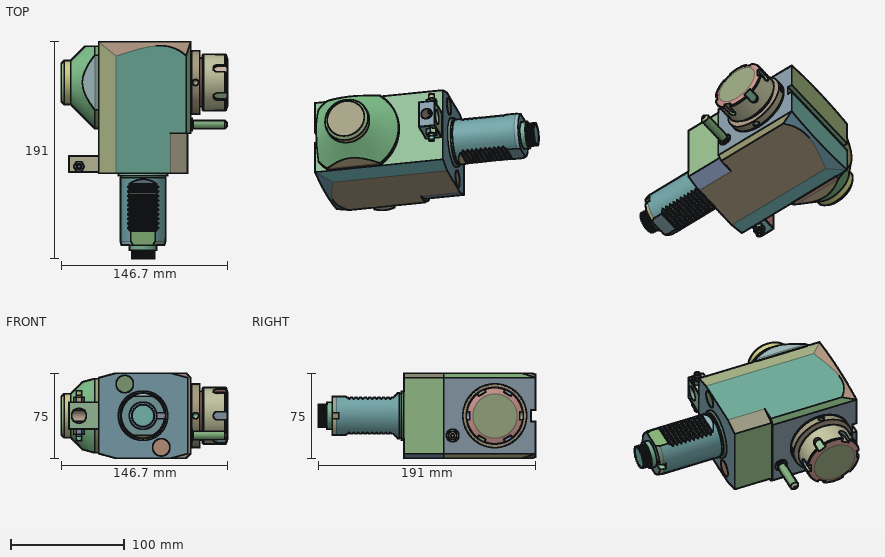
import cadquery as cq
import math


body_length = 116.0
body_half_width = 39.2
body_height = 75.0
body_half_height = body_height / 2
bevel_angle = 15
bevel_start_x = 23.9
bevel_drop = (body_half_width - bevel_start_x) * math.tan(math.radians(bevel_angle))
bevel_edge_z = body_half_height - bevel_drop
spindle_side_x = 42.0
spindle_chamfer_x = spindle_side_x - bevel_drop
spindle_side_start_y = 35.3

crown_mid_x = 7.6
crown_rear_z = 36.5
crown_shoulder_x = -3.8
crown_shoulder_y = 109.6
crown_peak_x = 15.3
crown_peak_y = 112.5
crown_corner_y = 103.5
crown_cut_size = 7.6

rear_slot_width = 10.0
rear_slot_depth = 4.0
plug_radius = 7.6
plug_recess = 0.4
plug_x = 16.0
plug_z = 27.9

drill_point_angle = 118

spindle_y = 80.0

cap_end_x = -72.0
cap_end_chamfer = 2.7
cap_neck_radius = 19.5
cap_radius = 40.5
cap_flat_z = 32.7
cap_base_x = -42.5
cap_rear_y = body_length - rear_slot_depth

collar_relief = 1.0
collar_relief_radius = 27.3
collar_radius = 28.0
collar_end_x = 50.0
nut_neck_radius = 21.5
nut_start_x = 52.1
nut_radius = 25.0
nut_start_chamfer = 1.1
nut_bevel_x = 72.0
nut_shoulder_x = 73.2
nut_shoulder_radius = 24.6
nut_end_x = 74.7
nut_end_radius = 19.5
nut_slot_count = 6
nut_slot_width = 7.3
nut_slot_start_x = 61.9
nut_slot_floor_radius = 22.0
collar_hole_count = 4
collar_hole_x = 46.2
collar_hole_radius = 2.7
collar_hole_depth = 2.0

pin_y = 43.0
pin_z = -17.4
pin_radius = 3.8
pin_end_x = 74.1
pin_tip_chamfer = 2.3
pin_flange_radius = 5.5
pin_flange_length = 1.1
pin_neck_radius = 3.5
pin_neck_end_x = 44.3

block_end_x = -65.1
block_front_y = 1.1
block_rear_y = 15.7
block_half_height = 12.0
block_chamfer = 0.4
block_hole_x = -56.3
block_front_hole_radius = 6.5
block_front_hole_depth = 6.7
block_side_hole_y = 8.5
block_side_hole_radius = 4.8
block_side_hole_depth = 16.2
block_side_socket_depth = 2.0
block_side_socket_corners = 3.0
hexagon_sides = 6
nipple_y = 6.1
nipple_hex_corners = 9.5
nipple_hex_height = 4.4
nipple_radius = 2.5
nipple_top_z = 22.0
nipple_bore_radius = 1.5
nipple_bore_depth = 3.8

shank_radius = 20.0
shank_length = 63.0
shank_end_chamfer = 3.5
shank_end_radius = 19.1
shank_collar_radius = 21.8
shank_collar_length = 2.1
shank_collar_fillet = 0.5
shank_neck_radius = 19.7
shank_neck_end_y = -3.8
shank_flat_z = 17.0
tooth_crest_z = 16.0
tooth_root_z = 14.7
tooth_pitch = 4.0
tooth_count = 10
first_root_y = -11.8
rack_start_y = -5.2
flat_start_y = -51.0
key_slot_width = 5.5
key_slot_depth = 5.7
end_ring_radius = 12.0
end_ring_length = 4.5
spline_outer_radius = 10.1
spline_root_radius = 9.4
spline_tooth_count = 30
total_length = 191.0
spline_end_y = body_length - total_length


def box(x_range, y_range, z_range):
    """Axis-aligned block given by its limits."""
    size = [limits[1] - limits[0] for limits in (x_range, y_range, z_range)]
    corner = (x_range[0], y_range[0], z_range[0])
    return cq.Workplane("XY").box(*size, centered=False).translate(corner)


def cylinder(start, direction, radius, length):
    """Cylinder from a start point along a direction."""
    return cq.Workplane(cq.Solid.makeCylinder(radius, length, cq.Vector(*start), cq.Vector(*direction)))


def drilled_hole(start, radius, depth):
    """Hole running towards +Y, ending in a conical drill point."""
    point_length = radius / math.tan(math.radians(drill_point_angle / 2))
    point_start = cq.Vector(start[0], start[1] + depth, start[2])
    point = cq.Solid.makeCone(radius, 0, point_length, point_start, cq.Vector(0, 1, 0))
    return cylinder(start, (0, 1, 0), radius, depth).union(cq.Workplane(point))


def turned_about_spindle(profile):
    """Solid of revolution about the spindle axis from (x, radius) points."""
    closed = [(profile[0][0], 0)] + profile + [(profile[-1][0], 0)]
    turned = cq.Workplane("XY").polyline(closed).close().revolve(360, (0, 0, 0), (1, 0, 0))
    return turned.translate((0, spindle_y, 0))


def both_sides(shape):
    """The shape together with its mirror image in the Z = 0 plane."""
    return shape.union(shape.mirror("XY"))


def main_block():
    front_outline = [
        (bevel_start_x, body_half_height),
        (body_half_width, bevel_edge_z),
        (body_half_width, -bevel_edge_z),
        (bevel_start_x, -body_half_height),
        (-bevel_start_x, -body_half_height),
        (-body_half_width, -bevel_edge_z),
        (-body_half_width, bevel_edge_z),
        (-bevel_start_x, body_half_height),
    ]
    spindle_outline = [
        (0, body_half_height),
        (spindle_chamfer_x, body_half_height),
        (spindle_side_x, bevel_edge_z),
        (spindle_side_x, -bevel_edge_z),
        (spindle_chamfer_x, -body_half_height),
        (0, -body_half_height),
    ]
    block = cq.Workplane("XZ").polyline(front_outline).close().extrude(-body_length)
    spindle_side = (
        cq.Workplane("XZ", origin=(0, spindle_side_start_y, 0))
        .polyline(spindle_outline)
        .close()
        .extrude(spindle_side_start_y - body_length)
    )
    return block.union(spindle_side)


def rear_crown_cut():
    """Ruled surface from an arc on the rear face to a lopsided curve on the top, thickened outwards."""
    rear_arc = cq.Edge.makeThreePointArc(
        cq.Vector(-body_half_width, body_length, bevel_edge_z),
        cq.Vector(crown_mid_x, body_length, crown_rear_z),
        cq.Vector(spindle_side_x, body_length, bevel_edge_z),
    )
    top_curve = cq.Edge.makeSpline([
        cq.Vector(-bevel_start_x, crown_corner_y, body_half_height),
        cq.Vector(crown_shoulder_x, crown_shoulder_y, body_half_height),
        cq.Vector(crown_peak_x, crown_peak_y, body_half_height),
        cq.Vector(spindle_chamfer_x, crown_corner_y, body_half_height),
    ])
    crown = cq.Face.makeRuledSurface(rear_arc, top_curve)
    outwards = cq.Vector(0, crown_cut_size, crown_cut_size)
    return both_sides(cq.Workplane(cq.Solid.extrudeLinear(crown, outwards)))


def rear_slot():
    half_width = rear_slot_width / 2
    return box(
        (-body_half_width, spindle_side_x),
        (body_length - rear_slot_depth, body_length),
        (-half_width, half_width),
    )


def plug_recesses():
    upper = cylinder((-plug_x, 0, plug_z), (0, 1, 0), plug_radius, plug_recess)
    lower = cylinder((plug_x, 0, -plug_z), (0, 1, 0), plug_radius, plug_recess)
    return upper.union(lower)


def rear_cap():
    cone_end_x = cap_base_x - (cap_radius - cap_neck_radius)
    turned = turned_about_spindle([
        (cap_end_x, cap_neck_radius - cap_end_chamfer),
        (cap_end_x + cap_end_chamfer, cap_neck_radius),
        (cone_end_x, cap_neck_radius),
        (cap_base_x, cap_radius),
        (-body_half_width, cap_radius),
    ])
    end_z = cap_flat_z - (cap_base_x - cap_end_x) * math.tan(math.radians(bevel_angle))
    envelope = (
        cq.Workplane("XZ", origin=(0, cap_rear_y, 0))
        .polyline([
            (-body_half_width, cap_flat_z),
            (cap_base_x, cap_flat_z),
            (cap_end_x, end_z),
            (cap_end_x, -end_z),
            (cap_base_x, -cap_flat_z),
            (-body_half_width, -cap_flat_z),
        ])
        .close()
        .extrude(cap_rear_y)
    )
    return turned.intersect(envelope)


def collar_and_nut():
    turned = turned_about_spindle([
        (spindle_side_x, collar_relief_radius),
        (spindle_side_x + collar_relief, collar_relief_radius),
        (spindle_side_x + collar_relief, collar_radius),
        (collar_end_x, collar_radius),
        (collar_end_x, nut_neck_radius),
        (nut_start_x, nut_neck_radius),
        (nut_start_x, nut_radius - nut_start_chamfer),
        (nut_start_x + nut_start_chamfer, nut_radius),
        (nut_bevel_x, nut_radius),
        (nut_shoulder_x, nut_shoulder_radius),
        (nut_end_x, nut_end_radius),
    ])
    for index in range(nut_slot_count):
        turned = turned.cut(about_spindle(nut_slot(), index * 360 / nut_slot_count))
    hole = drilled_hole(
        (collar_hole_x, spindle_y - collar_radius, 0), collar_hole_radius, collar_hole_depth
    )
    for index in range(collar_hole_count):
        turned = turned.cut(about_spindle(hole, index * 360 / collar_hole_count))
    return turned


def about_spindle(shape, angle):
    """The shape turned by an angle in degrees about the spindle axis."""
    return shape.rotate((0, spindle_y, 0), (1, spindle_y, 0), angle)


def nut_slot():
    """Wrench slot on the -Y side of the nut: round inner end, open at the nut face."""
    half_width = nut_slot_width / 2
    outer_y = spindle_y - nut_radius
    floor_y = spindle_y - nut_slot_floor_radius
    round_x = nut_slot_start_x + half_width
    straight = box((round_x, nut_end_x), (outer_y, floor_y), (-half_width, half_width))
    round_end = cylinder((round_x, outer_y, 0), (0, 1, 0), half_width, floor_y - outer_y)
    return straight.union(round_end)


def pin():
    start = (spindle_side_x, pin_y, pin_z)
    flange = cylinder(start, (1, 0, 0), pin_flange_radius, pin_flange_length)
    neck = cylinder(start, (1, 0, 0), pin_neck_radius, pin_neck_end_x - spindle_side_x)
    shaft = cylinder((pin_neck_end_x, pin_y, pin_z), (1, 0, 0), pin_radius, pin_end_x - pin_neck_end_x)
    shaft = shaft.faces(">X").chamfer(pin_tip_chamfer)
    return flange.union(neck).union(shaft)


def coolant_block():
    block = box(
        (block_end_x, -body_half_width),
        (block_front_y, block_rear_y),
        (-block_half_height, block_half_height),
    )
    block = block.edges("<X or |X").chamfer(block_chamfer)
    front_hole = drilled_hole(
        (block_hole_x, block_front_y, 0), block_front_hole_radius, block_front_hole_depth
    )
    side_start = (block_end_x, block_side_hole_y, 0)
    side_hole = cylinder(side_start, (1, 0, 0), block_side_hole_radius, block_side_hole_depth)
    socket_start = (block_end_x + block_side_hole_depth, block_side_hole_y, 0)
    socket = (
        cq.Workplane("YZ", origin=socket_start)
        .polygon(hexagon_sides, block_side_socket_corners)
        .extrude(block_side_socket_depth)
    )
    return block.cut(front_hole).cut(side_hole).cut(socket).union(both_sides(nipple()))


def nipple():
    hexagon = (
        cq.Workplane("XY", origin=(block_hole_x, nipple_y, block_half_height))
        .polygon(hexagon_sides, nipple_hex_corners)
        .extrude(nipple_hex_height)
    )
    stem_length = nipple_top_z - block_half_height
    stem = cylinder((block_hole_x, nipple_y, block_half_height), (0, 0, 1), nipple_radius, stem_length)
    bore = cylinder((block_hole_x, nipple_y, nipple_top_z), (0, 0, -1), nipple_bore_radius, nipple_bore_depth)
    return hexagon.union(stem).cut(bore)


def shank():
    collar = cylinder((0, 0, 0), (0, -1, 0), shank_collar_radius, shank_collar_length)
    collar = collar.faces("<Y").edges().fillet(shank_collar_fillet)
    bar = (
        cq.Workplane("XY")
        .polyline([
            (0, 0),
            (shank_neck_radius, 0),
            (shank_neck_radius, shank_neck_end_y),
            (shank_radius, shank_neck_end_y),
            (shank_radius, shank_end_chamfer - shank_length),
            (shank_end_radius, -shank_length),
            (0, -shank_length),
        ])
        .close()
        .revolve(360, (0, 0, 0), (0, 1, 0))
    )
    bar = bar.cut(both_sides(rack_cut())).cut(key_slot())
    ring = cylinder((0, -shank_length, 0), (0, -1, 0), end_ring_radius, end_ring_length)
    return collar.union(bar).union(ring).union(spline())


def rack_cut():
    """Cutter for the clamping teeth and the plain flat on the +Z side; all slopes are 45 degrees."""
    tooth_depth = tooth_crest_z - tooth_root_z
    outline = [
        (rack_start_y, shank_radius),
        (rack_start_y - (shank_radius - tooth_crest_z), tooth_crest_z),
    ]
    for index in range(tooth_count):
        root_y = first_root_y - index * tooth_pitch
        outline.append((root_y + tooth_depth, tooth_crest_z))
        outline.append((root_y, tooth_root_z))
        outline.append((root_y - tooth_depth, tooth_crest_z))
    outline.append((flat_start_y + shank_flat_z - tooth_crest_z, tooth_crest_z))
    outline.append((flat_start_y, shank_flat_z))
    outline += [(-shank_length, shank_flat_z), (-shank_length, shank_radius)]
    return cq.Workplane("YZ").polyline(outline).close().extrude(shank_radius, both=True)


def key_slot():
    half_width = key_slot_width / 2
    return box(
        (end_ring_radius, shank_radius),
        (-shank_length, key_slot_depth - shank_length),
        (-half_width, half_width),
    )


def spline():
    """Serrated end with pointed teeth."""
    start_y = -shank_length - end_ring_length
    outline = []
    for index in range(2 * spline_tooth_count):
        radius = spline_root_radius if index % 2 else spline_outer_radius
        angle = math.pi * index / spline_tooth_count
        outline.append((radius * math.cos(angle), radius * math.sin(angle)))
    return (
        cq.Workplane("XZ", origin=(0, start_y, 0)).polyline(outline).close().extrude(start_y - spline_end_y)
    )


body = main_block().cut(rear_crown_cut()).cut(rear_slot()).cut(plug_recesses())
result = (
    body.union(rear_cap())
    .union(collar_and_nut())
    .union(pin())
    .union(coolant_block())
    .union(shank())
)